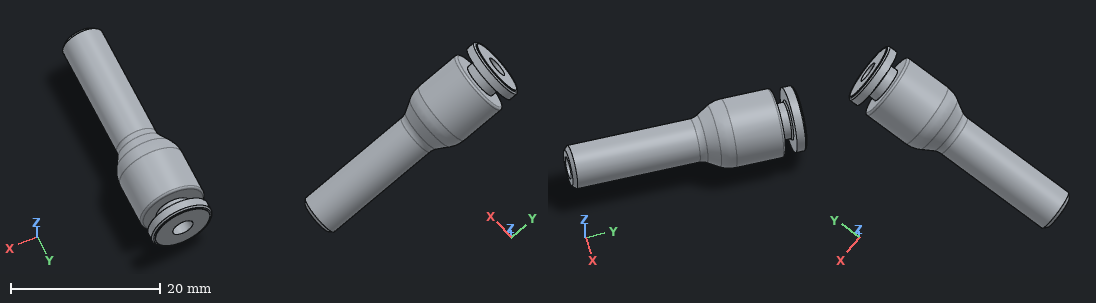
import cadquery as cq
import math

length = 32.1
back_y = length / 2
front_y = -length / 2

body_diameter = 9.5
flange_diameter = 9.0
neck_diameter = 5.05
shank_diameter = 6.0
bore_diameter = 3.0

flange_thickness = 1.5
flange_chamfer = 0.22
end_pad_diameter = 8.1
end_pad_height = 0.1
neck_length = 1.6
neck_chamfer = 0.22

body_rounding = 0.32
body_length = 6.8
taper_angle = math.radians(30)
shoulder_radius = 4.0
root_radius = 2.0
shank_chamfer = 0.5

body_radius = body_diameter / 2
flange_radius = flange_diameter / 2
end_pad_radius = end_pad_diameter / 2
neck_radius = neck_diameter / 2
shank_radius = shank_diameter / 2
bore_radius = bore_diameter / 2
flange_top_y = back_y - end_pad_height
flange_y = back_y - flange_thickness
body_y = flange_y - neck_length
shoulder_y = body_y - body_length


def shoulder_point(angle):
    """Point on the convex shoulder arc, turned by angle from the body cylinder."""
    radius = body_radius - shoulder_radius * (1 - math.cos(angle))
    return radius, shoulder_y - shoulder_radius * math.sin(angle)


cone_top_radius, cone_top_y = shoulder_point(taper_angle)
cone_bottom_radius = shank_radius + root_radius * (1 - math.cos(taper_angle))
cone_bottom_y = cone_top_y - (cone_top_radius - cone_bottom_radius) / math.tan(taper_angle)
root_y = cone_bottom_y - root_radius * math.sin(taper_angle)


def root_point(angle):
    """Point on the concave root arc, turned by angle from the shank cylinder."""
    radius = shank_radius + root_radius * (1 - math.cos(angle))
    return radius, root_y + root_radius * math.sin(angle)


def revolve(profile):
    """Turn a closed radius-height profile about the Y axis."""
    return profile.close().revolve(360, (0, 0, 0), (0, 1, 0))


def make_body():
    """Body, shoulder and shank with a rounded and a chamfered end, bored along the axis."""
    return revolve(
        cq.Workplane("XY")
        .moveTo(bore_radius, body_y)
        .lineTo(body_radius - body_rounding, body_y)
        .radiusArc((body_radius, body_y - body_rounding), body_rounding)
        .lineTo(body_radius, shoulder_y)
        .threePointArc(shoulder_point(taper_angle / 2), (cone_top_radius, cone_top_y))
        .lineTo(cone_bottom_radius, cone_bottom_y)
        .threePointArc(root_point(taper_angle / 2), (shank_radius, root_y))
        .lineTo(shank_radius, front_y + shank_chamfer)
        .lineTo(shank_radius - shank_chamfer, front_y)
        .lineTo(bore_radius, front_y)
    )


def make_release_flange():
    """Chamfered flange with a low end pad and a flared neck, bored along the axis."""
    return revolve(
        cq.Workplane("XY")
        .moveTo(bore_radius, back_y)
        .lineTo(end_pad_radius, back_y)
        .lineTo(end_pad_radius, flange_top_y)
        .lineTo(flange_radius - flange_chamfer, flange_top_y)
        .lineTo(flange_radius, flange_top_y - flange_chamfer)
        .lineTo(flange_radius, flange_y)
        .lineTo(neck_radius + neck_chamfer, flange_y)
        .lineTo(neck_radius, flange_y - neck_chamfer)
        .lineTo(neck_radius, body_y)
        .lineTo(bore_radius, body_y)
    )


result = make_body().union(make_release_flange())